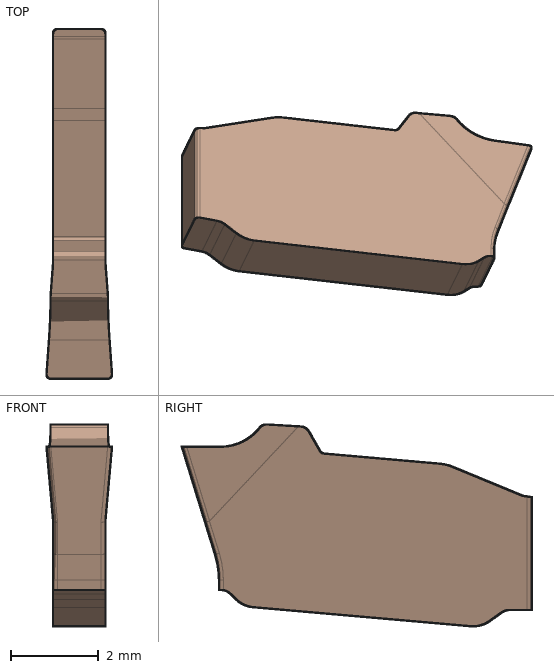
import cadquery as cq
import math

length = 8.0
body_width = 1.2
edge_height = 4.1
blank_width = 3.2
slab_size = 3 * length
side_edge_radius = 0.1

edge_margin = 0.01

flank_foot_y = 0.85
flank_bend_z = 1.34
front_foot_z = 0.82

seat_tilt = math.radians(5.0)
seat_back_y = 6.84
seat_back_z = -0.03
seat_front_y = 1.41
seat_front_z = seat_back_z + (seat_back_y - seat_front_y) * math.tan(seat_tilt)
front_step_y = 1.02
back_step_y = 7.39
back_foot_z = 0.36

back_top_z = 2.94
back_bevel_y = 7.79
back_bevel_z = 2.98
shoulder_y = 6.05
shoulder_z = 3.7
step_foot_y = 3.19
step_foot_z = shoulder_z + (shoulder_y - step_foot_y) * math.tan(seat_tilt)
step_top_y = 2.85
step_top_z = 4.55

breaker_start_y = 0.89
breaker_radius = 1.14
breaker_end_y = 1.84
breaker_sweep = math.asin((breaker_end_y - breaker_start_y) / breaker_radius)

hinge_y = 0.65
hinge_z = 2.41
hinge_angle = math.radians(46.8)
hinge_reach = 4.8
flare_angle = math.radians(5.6)
envelope_reach = 4.8


def breaker_point(angle):
    """Point on the chip breaker, with the angle measured from its lowest point."""
    return (
        breaker_start_y + breaker_radius * math.sin(angle),
        edge_height + breaker_radius * (1 - math.cos(angle)),
    )


crest = breaker_point(breaker_sweep)
rounded_corners = [
    (flank_foot_y, flank_bend_z, 2.0),
    (front_step_y, front_foot_z, 0.3),
    (seat_front_y, seat_front_z, 0.64),
    (seat_back_y, seat_back_z, 0.64),
    (back_step_y, back_foot_z, 0.32),
    (back_bevel_y, back_bevel_z, 0.24),
    (shoulder_y, shoulder_z, 0.96),
    (step_foot_y, step_foot_z, 0.12),
    (step_top_y, step_top_z, 0.24),
    (*crest, 0.2),
]


def edge_at(y, z):
    """Selector for the crosswise edge through an outline corner."""
    return cq.selectors.NearestToPointSelector((0, y, z))


def make_blank():
    """Side outline extruded across the thickness, with its corners rounded."""
    blank = (
        cq.Workplane("YZ")
        .moveTo(0, edge_height)
        .lineTo(flank_foot_y, flank_bend_z)
        .lineTo(flank_foot_y, front_foot_z)
        .lineTo(front_step_y, front_foot_z)
        .lineTo(seat_front_y, seat_front_z)
        .lineTo(seat_back_y, seat_back_z)
        .lineTo(back_step_y, back_foot_z)
        .lineTo(length, back_foot_z)
        .lineTo(length, back_top_z)
        .lineTo(back_bevel_y, back_bevel_z)
        .lineTo(shoulder_y, shoulder_z)
        .lineTo(step_foot_y, step_foot_z)
        .lineTo(step_top_y, step_top_z)
        .lineTo(*crest)
        .threePointArc(breaker_point(breaker_sweep / 2), (breaker_start_y, edge_height))
        .close()
        .extrude(blank_width / 2, both=True)
    )
    for y, z, radius in rounded_corners:
        blank = blank.edges("|X").edges(edge_at(y, z)).fillet(radius)
    return blank


def make_flared_envelope():
    """Wedge, symmetric about X = 0, with body width at the hinge line and widening toward the head."""
    half_width = body_width / 2
    half_spread = envelope_reach * math.tan(flare_angle)
    across_hinge = cq.Plane(
        origin=(0, hinge_y, hinge_z),
        xDir=(1, 0, 0),
        normal=(0, -math.cos(hinge_angle), -math.sin(hinge_angle)),
    )
    return (
        cq.Workplane(across_hinge)
        .polyline([
            (-half_width + half_spread, -envelope_reach),
            (-half_width - half_spread, envelope_reach),
            (half_width + half_spread, envelope_reach),
            (half_width - half_spread, -envelope_reach),
        ])
        .close()
        .extrude(hinge_reach * 2, both=True)
    )


def make_straight_envelope():
    """Slab of body width, larger than the side outline."""
    slab = cq.Workplane("YZ").rect(slab_size, slab_size)
    return slab.extrude(body_width / 2, both=True)


def round_side_edges(insert):
    """Round the upright side edges of the front face and of the back face."""
    for side in (-1, 1):
        inner_x = side * edge_margin
        outer_x = side * blank_width / 2
        front_edges = cq.selectors.BoxSelector(
            (inner_x, -edge_margin, front_foot_z + edge_margin),
            (outer_x, flank_foot_y + edge_margin, edge_height - edge_margin),
        )
        back_edge = cq.selectors.BoxSelector(
            (inner_x, length - edge_margin, back_foot_z + edge_margin),
            (outer_x, length + edge_margin, back_top_z - edge_margin),
        )
        insert = insert.edges(front_edges + back_edge).fillet(side_edge_radius)
    return insert


blank = make_blank()
straight_body = round_side_edges(blank.intersect(make_straight_envelope()))
flared_head = round_side_edges(blank.intersect(make_flared_envelope()))
result = straight_body.union(flared_head)